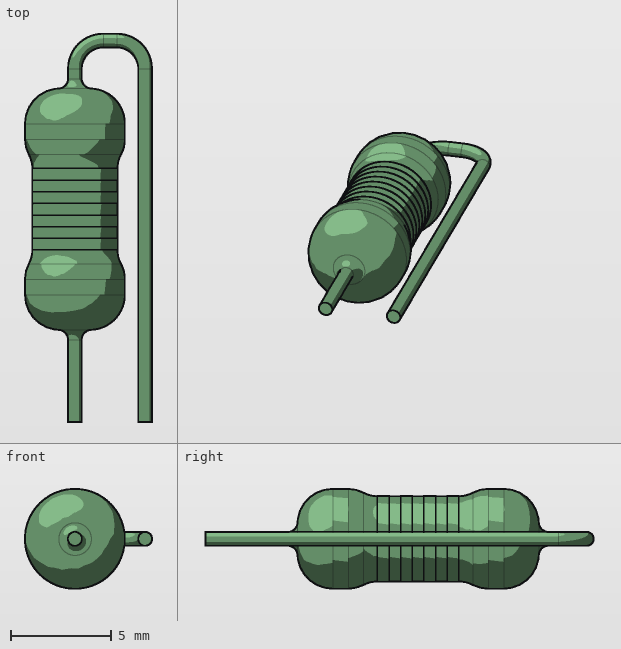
import cadquery as cq
import math

total_length = 19.35
wire_radius = 0.35
lead_pitch = 3.5
bend_radius = 1.41

body_middle = 10.6
body_radius = 2.5
waist_radius = 2.13
dome_radius = 1.76
dome_start = 4.25
shoulder_start = 3.48
shoulder_joint = 2.73
collar_radius = 0.81
collar_length = 0.48

band_radius = 4.28 / 2
band_width = 0.58
band_count = 4
band_spacing = 2 * band_width
waist_half_length = (2 * band_count - 1) * band_width / 2

shoulder_length = shoulder_start - waist_half_length
shoulder_half_angle = math.atan((body_radius - waist_radius) / shoulder_length)
joint_radius = body_radius - (shoulder_start - shoulder_joint) * math.tan(shoulder_half_angle)

dome_centre_radius = body_radius - dome_radius
collar_foot = dome_start + math.sqrt(dome_radius**2 - (collar_radius - dome_centre_radius)**2)
collar_end = collar_foot + collar_length
dome_mid_radius = dome_centre_radius + dome_radius * math.cos(math.pi / 4)
dome_mid = dome_start + dome_radius * math.sin(math.pi / 4)


def make_cap():
    """The +Y cap with its shoulder and collar, placed from the body middle."""
    cap_root = waist_half_length - band_width
    collar_bulge = math.cos(math.pi / 4)
    collar_mid_radius = collar_radius - (collar_radius - wire_radius) * collar_bulge
    collar_mid = collar_end - collar_length * collar_bulge
    profile = (
        cq.Workplane("XY")
        .moveTo(0, cap_root)
        .lineTo(waist_radius, cap_root)
        .lineTo(waist_radius, waist_half_length)
        .tangentArcPoint((joint_radius, shoulder_joint), relative=False)
        .tangentArcPoint((body_radius, shoulder_start), relative=False)
        .lineTo(body_radius, dome_start)
        .threePointArc((dome_mid_radius, dome_mid), (collar_radius, collar_foot))
        .threePointArc((collar_mid_radius, collar_mid), (wire_radius, collar_end))
        .lineTo(0, collar_end)
    )
    return profile.close().revolve(360, (0, 0, 0), (0, 1, 0))


def make_cylinder(radius, start, length):
    """Solid cylinder along Y from start."""
    return cq.Workplane("XZ", origin=(0, start, 0)).circle(radius).extrude(-length)


def make_body():
    cap = make_cap()
    waist = make_cylinder(waist_radius, -waist_half_length, 2 * waist_half_length)
    body = waist.union(cap).union(cap.mirror("XZ"))
    for index in range(band_count):
        start = -waist_half_length + index * band_spacing
        body = body.union(make_cylinder(band_radius, start, band_width))
    return body.translate((0, body_middle, 0))


def make_straight_lead():
    return make_cylinder(wire_radius, 0, body_middle - collar_end)


def make_folded_lead():
    lead_start = body_middle + collar_end
    crown = total_length - wire_radius
    bend_start = crown - bend_radius
    path = (
        cq.Workplane("XY")
        .moveTo(0, lead_start)
        .lineTo(0, bend_start)
        .tangentArcPoint((bend_radius, crown), relative=False)
        .lineTo(lead_pitch - bend_radius, crown)
        .tangentArcPoint((lead_pitch, bend_start), relative=False)
        .lineTo(lead_pitch, 0)
    )
    return cq.Workplane("XZ", origin=(0, lead_start, 0)).circle(wire_radius).sweep(path)


result = make_body().union(make_straight_lead()).union(make_folded_lead())